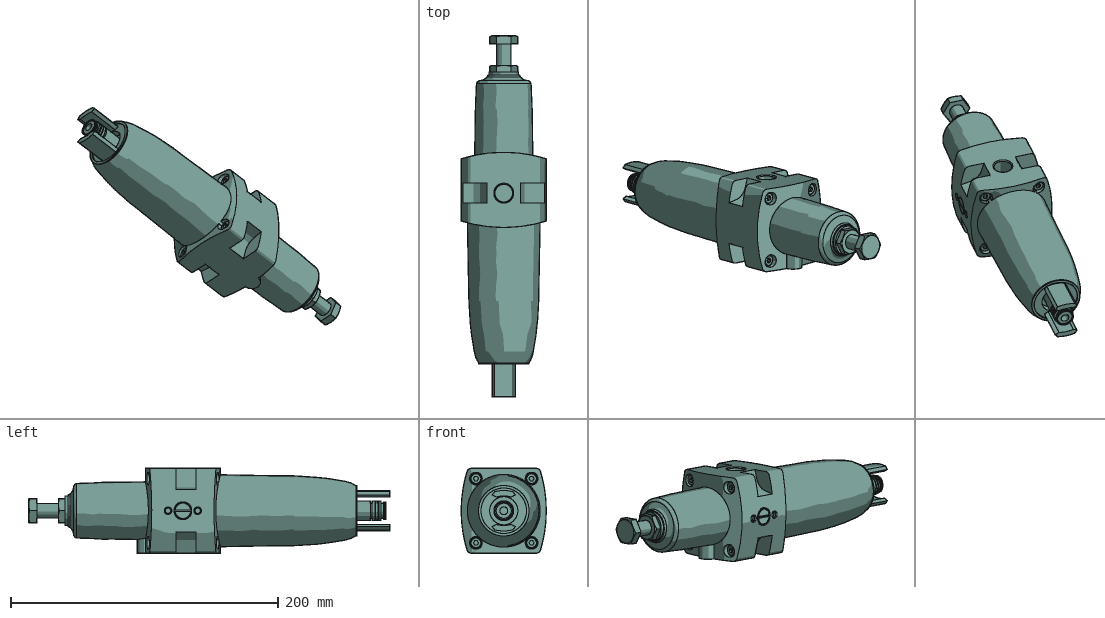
import cadquery as cq
import math


BLOCK_SIZE = 64.0
HALF_BLOCK = BLOCK_SIZE / 2
END_CROWN_Y = 28.1
END_CROWN_RADIUS = 108.3
CORNER_X = 26.8
CORNER_FILLET = 3.8

SLOT_Y = -2.5
SLOT_WIDTH = 15.2
SLOT_OUTER_EDGE = (32.5, 15.5)
SLOT_FLOOR_END = (22.5, 17.3)
SLOT_ARC_MIDDLE = (17.3, 20.3)
SLOT_WALL_START = (14.3, 25.5)
SLOT_INNER_EDGE = (12.5, HALF_BLOCK)
SLOT_CLEARANCE = 2.7
PORT_DIAMETER = 13.3
PORT_MOUTH_DIAMETER = 15.0
PORT_DEPTH = 21.7

SCREW_X = 20.8
SCREW_Z = 24.0
COUNTERBORE_DIAMETER = 9.5
SCREW_HEAD_DIAMETER = 8.5
SCREW_HEAD_CHAMFER = 0.5
SCREW_HEAD_Y = 24.0
COUNTERBORE_FLOOR_Y = 21.5
SOCKET_ACROSS_CORNERS = 3.8
SOCKET_DEPTH = 2.0

PLUG_DIAMETER = 11.6
PLUG_HOLE_DIAMETER = 13.3
PLUG_GAP_DEPTH = 1.4
PLUG_SLOT_WIDTH = 1.0
PIN_HOLE_Y = 11.0
PIN_HOLE_DIAMETER = 4.0
PIN_HOLE_MOUTH_DIAMETER = 5.7
PIN_HOLE_DEPTH = 2.7

BOSS_DIAMETER = 13.3
BOSS_Y = 27.5
BOSS_HEIGHT = 21.0

BONNET_SEAT_Y = 23.3
BONNET_BASE_RADIUS = 22.0
BONNET_SEAM = (21.5, 60.5)
BONNET_SHOULDER = (20.5, 79.5)
BONNET_SHOULDER_MIDDLE = (19.8, 81.0)
BONNET_FLARE_BASE = (18.0, 82.0)
BONNET_FLARE_MIDDLE = (15.0, 82.8)
BONNET_FLARE_TOP = (12.7, 84.5)
BONNET_STEP = (12.0, 86.0)
WASHER_RADIUS = 11.0
BONNET_TOP_Y = 88.5

HEX_ACROSS_CORNERS = 21.0
HEX_CHAMFER_RADIUS = 9.0
HEX_CHAMFER_HEIGHT = 0.8
SHANK_DIAMETER = 11.0
NUT_TOP_Y = 93.5
HEAD_BASE_Y = 109.3
HEAD_TOP_Y = 115.5

BOWL_SEAT_Y = -23.3
BOWL_TOP_RADIUS = 27.3
BOWL_SEAM = (26.3, -83.4)
BOWL_TAPER_MIDDLE = (25.0, -103.5)
BOWL_SHOULDER = (22.2, -121.3)
BOWL_SHOULDER_MIDDLE = (20.8, -126.0)
BOWL_LIP_RADIUS = 19.0
BOWL_LIP_INNER_RADIUS = 17.0
BOWL_LIP_START_Y = -129.6
BOWL_END_Y = -130.5
LIP_DEPTH = 1.4
DRAIN_HOLE_DIAMETER = 21.0
DRAIN_HOLE_DEPTH = 5.5
PRONG_END_Y = -155.0
PRONG_TOP_Z = 15.2
PRONG_SHOULDER = (6.8, 14.3)
PRONG_SIDE = (8.7, 12.0)
PRONG_FOOT = (5.7, 10.3)
PRONG_UNDERSIDE_Z = 11.0

DRAIN_RADIUS = 15.0 / 2
DRAIN_GROOVE_RADIUS = 11.5 / 2
DRAIN_BARB_RADIUS = 13.3 / 2
DRAIN_BORE_DIAMETER = 6.0
DRAIN_BORE_DEPTH = 8.0
DRAIN_GROOVES = [(-140.5, -141.8), (-144.0, -144.5), (-146.2, -147.0)]
DRAIN_NECK_Y = -148.5
DRAIN_BARB = (-150.2, -151.0)
DRAIN_TIP_RIM_Y = -151.8
DRAIN_END_Y = -152.5


def disc(radius, y_start, y_end):
    """A cylinder on the Y axis between two Y positions."""
    start = min(y_start, y_end)
    return cq.Workplane("XZ", origin=(0, start, 0)).circle(radius).extrude(-abs(y_end - y_start))


def rod(diameter, x, z, y_start, y_end):
    """A cylinder parallel to Y."""
    return disc(diameter / 2, y_start, y_end).translate((x, 0, z))



def make_bonnet():
    profile = (
        cq.Workplane("XY")
        .moveTo(0, BONNET_SEAT_Y)
        .lineTo(BONNET_BASE_RADIUS, BONNET_SEAT_Y)
        .lineTo(*BONNET_SEAM)
        .lineTo(*BONNET_SHOULDER)
        .threePointArc(BONNET_SHOULDER_MIDDLE, BONNET_FLARE_BASE)
        .threePointArc(BONNET_FLARE_MIDDLE, BONNET_FLARE_TOP)
        .lineTo(*BONNET_STEP)
        .lineTo(WASHER_RADIUS, BONNET_STEP[1])
        .lineTo(WASHER_RADIUS, BONNET_TOP_Y)
        .lineTo(0, BONNET_TOP_Y)
        .close()
    )
    return profile.revolve(360, (0, 0, 0), (0, 1, 0))



def make_prong(side):
    """One guard prong, above (side = 1) or below (side = -1) the drain."""
    shoulder_x, shoulder_z = PRONG_SHOULDER
    side_x, side_z = PRONG_SIDE
    foot_x, foot_z = PRONG_FOOT
    floor_y = BOWL_END_Y + LIP_DEPTH
    return (
        cq.Workplane("XZ", origin=(0, floor_y, 0))
        .moveTo(-shoulder_x, side * shoulder_z)
        .threePointArc((0, side * PRONG_TOP_Z), (shoulder_x, side * shoulder_z))
        .lineTo(side_x, side * side_z)
        .lineTo(foot_x, side * foot_z)
        .threePointArc((0, side * PRONG_UNDERSIDE_Z), (-foot_x, side * foot_z))
        .lineTo(-side_x, side * side_z)
        .close()
        .extrude(floor_y - PRONG_END_Y)
    )


def make_bowl():
    shell = (
        cq.Workplane("XY")
        .moveTo(0, BOWL_SEAT_Y)
        .lineTo(BOWL_TOP_RADIUS, BOWL_SEAT_Y)
        .lineTo(*BOWL_SEAM)
        .threePointArc(BOWL_TAPER_MIDDLE, BOWL_SHOULDER)
        .threePointArc(BOWL_SHOULDER_MIDDLE, (BOWL_LIP_RADIUS, BOWL_LIP_START_Y))
        .lineTo(BOWL_LIP_RADIUS, BOWL_END_Y)
        .lineTo(0, BOWL_END_Y)
        .close()
        .revolve(360, (0, 0, 0), (0, 1, 0))
    )
    floor_y = BOWL_END_Y + LIP_DEPTH
    bowl = shell.cut(disc(BOWL_LIP_INNER_RADIUS, BOWL_END_Y, floor_y))
    for side in (1, -1):
        bowl = bowl.union(make_prong(side))
    return bowl.cut(disc(DRAIN_HOLE_DIAMETER / 2, PRONG_END_Y, floor_y + DRAIN_HOLE_DEPTH))



def make_drain():
    seat_y = BOWL_END_Y + LIP_DEPTH + DRAIN_HOLE_DEPTH
    drain = disc(DRAIN_RADIUS, seat_y, DRAIN_NECK_Y)
    for start, end in DRAIN_GROOVES:
        drain = drain.cut(disc(DRAIN_RADIUS, start, end).cut(disc(DRAIN_GROOVE_RADIUS, start, end)))
    drain = drain.union(disc(DRAIN_GROOVE_RADIUS, DRAIN_NECK_Y, DRAIN_END_Y))
    drain = drain.union(disc(DRAIN_BARB_RADIUS, *DRAIN_BARB))
    drain = drain.union(disc(DRAIN_BARB_RADIUS, DRAIN_TIP_RIM_Y, DRAIN_END_Y))
    return drain.cut(disc(DRAIN_BORE_DIAMETER / 2, DRAIN_END_Y, DRAIN_END_Y + DRAIN_BORE_DEPTH))



def make_hexagon(y_start, y_end):
    """A hexagon with corners on X, its corners chamfered at the +Y end."""
    hexagon = (
        cq.Workplane("XZ", origin=(0, y_start, 0))
        .polygon(6, HEX_ACROSS_CORNERS)
        .extrude(y_start - y_end)
    )
    envelope = (
        disc(HEX_ACROSS_CORNERS / 2, y_start, y_end)
        .faces(">Y")
        .chamfer(HEX_CHAMFER_HEIGHT, HEX_ACROSS_CORNERS / 2 - HEX_CHAMFER_RADIUS)
    )
    return hexagon.intersect(envelope)


def make_adjusting_screw():
    nut = make_hexagon(BONNET_TOP_Y, NUT_TOP_Y)
    shank = disc(SHANK_DIAMETER / 2, BONNET_TOP_Y, HEAD_TOP_Y)
    head = make_hexagon(HEAD_BASE_Y, HEAD_TOP_Y)
    return nut.union(shank).union(head)



def make_block():
    """Block with bulging sides, rounded long edges and domed ends."""
    block = (
        cq.Workplane("XZ", origin=(0, END_CROWN_Y, 0))
        .moveTo(-CORNER_X, HALF_BLOCK)
        .lineTo(CORNER_X, HALF_BLOCK)
        .threePointArc((HALF_BLOCK, 0), (CORNER_X, -HALF_BLOCK))
        .lineTo(-CORNER_X, -HALF_BLOCK)
        .threePointArc((-HALF_BLOCK, 0), (-CORNER_X, HALF_BLOCK))
        .close()
        .extrude(2 * END_CROWN_Y)
        .edges("|Y")
        .fillet(CORNER_FILLET)
    )
    crown_drop = END_CROWN_RADIUS - math.sqrt(END_CROWN_RADIUS**2 - HALF_BLOCK**2)
    edge_y = END_CROWN_Y - crown_drop
    crowned_plan = (
        cq.Workplane("XY", origin=(0, 0, -HALF_BLOCK))
        .moveTo(-HALF_BLOCK, edge_y)
        .threePointArc((0, END_CROWN_Y), (HALF_BLOCK, edge_y))
        .lineTo(HALF_BLOCK, -edge_y)
        .threePointArc((0, -END_CROWN_Y), (-HALF_BLOCK, -edge_y))
        .close()
        .extrude(BLOCK_SIZE)
    )
    return block.intersect(crowned_plan)


def make_slot_cutter():
    """Cutter for the clamp slot at the +X, +Z corner."""
    outer_x, outer_z = SLOT_OUTER_EDGE
    inner_x, inner_z = SLOT_INNER_EDGE
    return (
        cq.Workplane("XZ", origin=(0, SLOT_Y + SLOT_WIDTH / 2, 0))
        .moveTo(outer_x, outer_z)
        .lineTo(*SLOT_FLOOR_END)
        .threePointArc(SLOT_ARC_MIDDLE, SLOT_WALL_START)
        .lineTo(inner_x, inner_z)
        .lineTo(inner_x, inner_z + SLOT_CLEARANCE)
        .lineTo(outer_x, inner_z + SLOT_CLEARANCE)
        .close()
        .extrude(SLOT_WIDTH)
    )


def cut_slots(block):
    upper_right = make_slot_cutter()
    upper_left = upper_right.mirror("YZ")
    for cutter in (upper_right, upper_left):
        block = block.cut(cutter).cut(cutter.mirror("XY"))
    return block


def make_countersunk_hole(diameter, mouth_diameter, depth, mouth, direction):
    """Cutter for a blind hole with a 45 degree mouth, running from `mouth` along `direction`."""
    start = cq.Vector(*mouth)
    axis = cq.Vector(*direction)
    mouth_depth = (mouth_diameter - diameter) / 2
    bore = cq.Solid.makeCylinder(diameter / 2, depth, start, axis)
    countersink = cq.Solid.makeCone(mouth_diameter / 2, diameter / 2, mouth_depth, start, axis)
    return cq.Workplane(bore).union(cq.Workplane(countersink))


def cut_port(block):
    mouth = (0, SLOT_Y, HALF_BLOCK)
    return block.cut(
        make_countersunk_hole(PORT_DIAMETER, PORT_MOUTH_DIAMETER, PORT_DEPTH, mouth, (0, 0, -1))
    )


def add_screw_heads(block):
    """Counterbores at both ends, each holding a socket head."""
    for end in (1, -1):
        floor_y = end * COUNTERBORE_FLOOR_Y
        head_y = end * SCREW_HEAD_Y
        socket_y = end * (SCREW_HEAD_Y - SOCKET_DEPTH)
        outer_face = ">Y" if end > 0 else "<Y"
        for x in (-SCREW_X, SCREW_X):
            for z in (-SCREW_Z, SCREW_Z):
                block = block.cut(rod(COUNTERBORE_DIAMETER, x, z, floor_y, end * END_CROWN_Y))
                head = rod(SCREW_HEAD_DIAMETER, x, z, floor_y, head_y)
                head = head.faces(outer_face).chamfer(SCREW_HEAD_CHAMFER)
                socket = (
                    cq.Workplane("XZ", origin=(x, head_y, z))
                    .polygon(6, SOCKET_ACROSS_CORNERS)
                    .extrude(head_y - socket_y)
                )
                block = block.union(head.cut(socket))
    return block


def cut_plug_and_pin_holes(block):
    """Ring gap and screwdriver slot of the plug, with a pin hole either side of it."""
    side = cq.Workplane("YZ", origin=(-HALF_BLOCK, 0, 0))
    gap = side.circle(PLUG_HOLE_DIAMETER / 2).circle(PLUG_DIAMETER / 2).extrude(PLUG_GAP_DEPTH)
    slot = side.rect(PLUG_DIAMETER, PLUG_SLOT_WIDTH).extrude(PLUG_GAP_DEPTH)
    block = block.cut(gap).cut(slot)
    for y in (-PIN_HOLE_Y, PIN_HOLE_Y):
        mouth = (-HALF_BLOCK, y, 0)
        block = block.cut(
            make_countersunk_hole(
                PIN_HOLE_DIAMETER, PIN_HOLE_MOUTH_DIAMETER, PIN_HOLE_DEPTH, mouth, (1, 0, 0)
            )
        )
    return block


def add_boss(block):
    boss = (
        cq.Workplane("XY", origin=(0, BOSS_Y, -HALF_BLOCK))
        .circle(BOSS_DIAMETER / 2)
        .extrude(BOSS_HEIGHT)
    )
    return block.union(boss)


def make_housing(bonnet, bowl):
    """Block with matching recesses for the bonnet and the bowl."""
    housing = add_boss(make_block())
    housing = cut_slots(housing)
    housing = cut_port(housing)
    housing = add_screw_heads(housing)
    housing = cut_plug_and_pin_holes(housing)
    return housing.cut(bonnet).cut(bowl)


bonnet = make_bonnet()
bowl = make_bowl()
drain = make_drain()
adjusting_screw = make_adjusting_screw()
housing = make_housing(bonnet, bowl)

result = cq.Compound.makeCompound(
    [housing.val(), bonnet.val(), bowl.val(), drain.val(), adjusting_screw.val()]
)